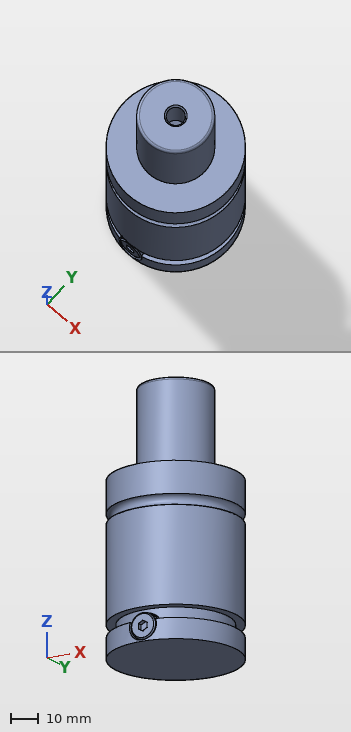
import cadquery as cq
import math

body_diameter = 50.0
body_top = 67.0
flange_top = 8.0
neck_top = 13.0
neck_diameter = 43.0
groove_radius = 2.0
groove_height = 52.5

rod_diameter = 28.0
rod_top = 102.0
rod_fillet = 1.0

hole_diameter = 6.8
hole_mouth_diameter = 8.2
hole_depth = 15.3
drill_tip_angle = 118.0

plug_height = 6.0
plug_face = 24.6
plug_diameter = 10.0
plug_chamfer = 0.5
bore_diameter = 11.0
bore_floor = 20.4
socket_across_flats = 3.5
socket_depth = 2.0


def make_cylinder_body():
    """Revolve the body, with its neck and the half-round groove."""
    body_radius = body_diameter / 2
    neck_radius = neck_diameter / 2
    return (
        cq.Workplane("XZ")
        .lineTo(body_radius, 0)
        .lineTo(body_radius, flange_top)
        .lineTo(neck_radius, flange_top)
        .lineTo(neck_radius, neck_top)
        .lineTo(body_radius, neck_top)
        .lineTo(body_radius, groove_height - groove_radius)
        .threePointArc(
            (body_radius - groove_radius, groove_height),
            (body_radius, groove_height + groove_radius),
        )
        .lineTo(body_radius, body_top)
        .lineTo(0, body_top)
        .close()
        .revolve(360, (0, 0, 0), (0, 1, 0))
    )


def make_rod():
    """Piston rod, reaching from the body top to the full height."""
    rod = cq.Workplane("XY").workplane(offset=body_top).circle(rod_diameter / 2).extrude(rod_top - body_top)
    return rod.faces(">Z").edges().fillet(rod_fillet)


def make_rod_hole():
    """Blind hole with a 45 degree mouth chamfer and a drill-point bottom."""
    hole_radius = hole_diameter / 2
    mouth_radius = hole_mouth_diameter / 2
    tip_length = hole_radius / math.tan(math.radians(drill_tip_angle / 2))
    hole_bottom = rod_top - hole_depth
    return (
        cq.Workplane("XZ")
        .moveTo(0, rod_top)
        .lineTo(mouth_radius, rod_top)
        .lineTo(hole_radius, rod_top - (mouth_radius - hole_radius))
        .lineTo(hole_radius, hole_bottom)
        .lineTo(0, hole_bottom - tip_length)
        .close()
        .revolve(360, (0, 0, 0), (0, 1, 0))
    )


def plug_plane(distance):
    """Sketch plane facing -Y, on the plug axis, at a distance from the body axis."""
    return cq.Workplane("XZ", origin=(0, -distance, plug_height))


def make_plug_bore():
    return plug_plane(bore_floor).circle(bore_diameter / 2).extrude(body_diameter / 2 - bore_floor)


def make_plug():
    """Chamfered round plug with a hexagon socket, corners pointing up and down."""
    plug = plug_plane(bore_floor).circle(plug_diameter / 2).extrude(plug_face - bore_floor)
    plug = plug.faces("<Y").edges().chamfer(plug_chamfer)
    socket_corner_diameter = socket_across_flats / math.cos(math.pi / 6)
    socket = (
        plug_plane(plug_face - socket_depth)
        .transformed(rotate=(0, 0, 90))
        .polygon(6, socket_corner_diameter)
        .extrude(socket_depth)
    )
    return plug.cut(socket)


body = make_cylinder_body().union(make_rod())
result = body.cut(make_rod_hole()).cut(make_plug_bore()).union(make_plug())